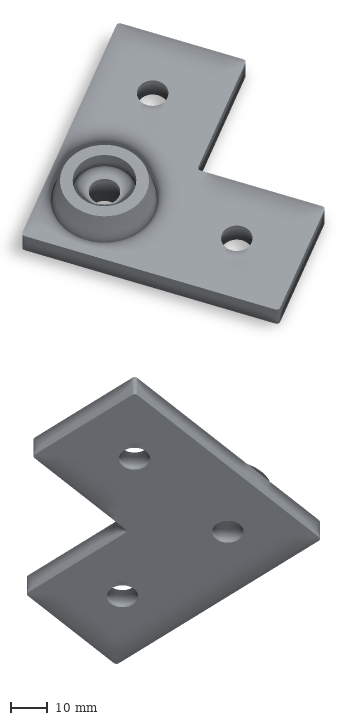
import cadquery as cq

length_x = 74.2
length_y = 76.2
total_height = 15.0
plate_thickness = 6.4
arm_width_x = 37.2
arm_width_y = 37.0
corner_radius = 1.0

boss_x = 17.1
boss_y = 19.0
hole_spacing = 38.1
hole_diameter = 8.5

boss_base_diameter = 29.0
boss_top_diameter = 24.1
counterbore_diameter = 17.2
counterbore_depth = 5.0


def make_plate():
    """L-shaped plate with its outer corner at the origin and rounded upright edges."""
    outline = [
        (0, 0),
        (length_x, 0),
        (length_x, arm_width_y),
        (arm_width_x, arm_width_y),
        (arm_width_x, length_y),
        (0, length_y),
    ]
    plate = cq.Workplane("XY").polyline(outline).close().extrude(plate_thickness)
    return plate.edges("|Z").fillet(corner_radius)


def make_boss():
    """Truncated cone standing on the plate."""
    return (
        cq.Workplane("XY", origin=(boss_x, boss_y, plate_thickness))
        .circle(boss_base_diameter / 2)
        .workplane(offset=total_height - plate_thickness)
        .circle(boss_top_diameter / 2)
        .loft(ruled=True)
    )


def make_holes():
    """Three through holes laid out in an L."""
    centers = [
        (boss_x, boss_y),
        (boss_x + hole_spacing, boss_y),
        (boss_x, boss_y + hole_spacing),
    ]
    return cq.Workplane("XY").pushPoints(centers).circle(hole_diameter / 2).extrude(total_height)


def make_counterbore():
    """Flat-bottomed recess sunk from the top of the boss."""
    return (
        cq.Workplane("XY", origin=(boss_x, boss_y, total_height))
        .circle(counterbore_diameter / 2)
        .extrude(-counterbore_depth)
    )


result = make_plate().union(make_boss()).cut(make_holes()).cut(make_counterbore())